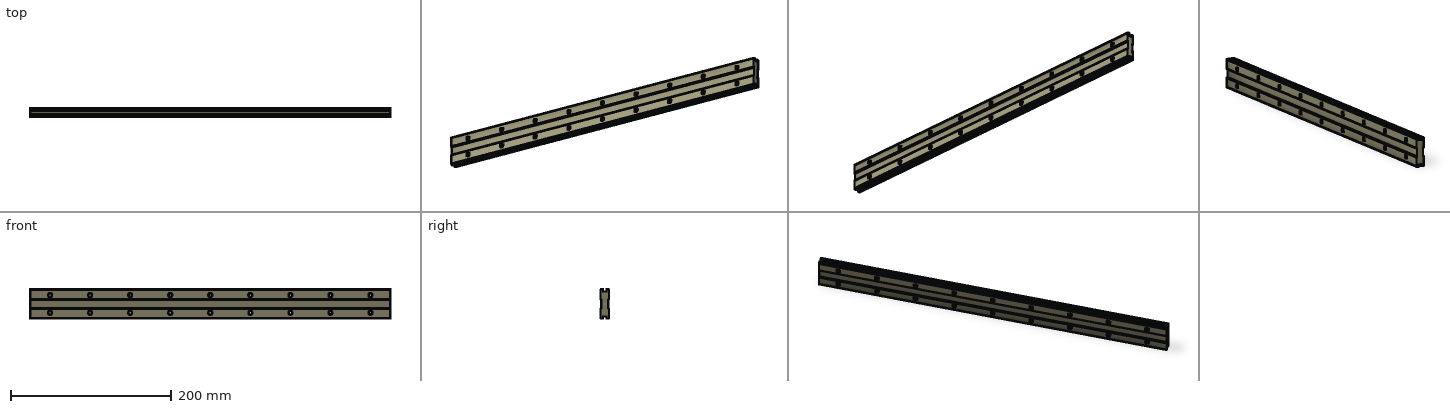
import cadquery as cq

length = 450.0
thickness = 11.0
height = 37.0

edge_chamfer = 1.0
slot_width = 4.0
slot_depth = 2.5
recess_depth = 1.0
recess_mouth = 12.0
recess_floor = recess_mouth - 2 * recess_depth

hole_diameter = 4.5
hole_count = 9
hole_pitch = length / hole_count
row_spacing = 22.0


def lengthwise_cut(points):
    """Prism along the whole rail whose cross-section is given as (y, z) points."""
    return cq.Workplane("YZ").polyline(points).close().extrude(length / 2, both=True)


def face_recess(side):
    """Shallow groove with sloping walls along the middle of one broad face."""
    face = side * thickness / 2
    floor = face - side * recess_depth
    return lengthwise_cut([
        (face, -recess_mouth / 2),
        (floor, -recess_floor / 2),
        (floor, recess_floor / 2),
        (face, recess_mouth / 2),
    ])


def edge_slot(side):
    """Rectangular slot along the middle of one narrow edge."""
    edge = side * height / 2
    floor = edge - side * slot_depth
    return lengthwise_cut([
        (-slot_width / 2, edge),
        (-slot_width / 2, floor),
        (slot_width / 2, floor),
        (slot_width / 2, edge),
    ])


def mounting_holes():
    """Both rows of holes, running through the thickness."""
    return (
        cq.Workplane("XZ")
        .rarray(hole_pitch, row_spacing, hole_count, 2)
        .circle(hole_diameter / 2)
        .extrude(thickness, both=True)
    )


rail = cq.Workplane("XY").box(length, thickness, height).edges("|X").chamfer(edge_chamfer)
for side in (-1, 1):
    rail = rail.cut(face_recess(side)).cut(edge_slot(side))

result = rail.cut(mounting_holes())